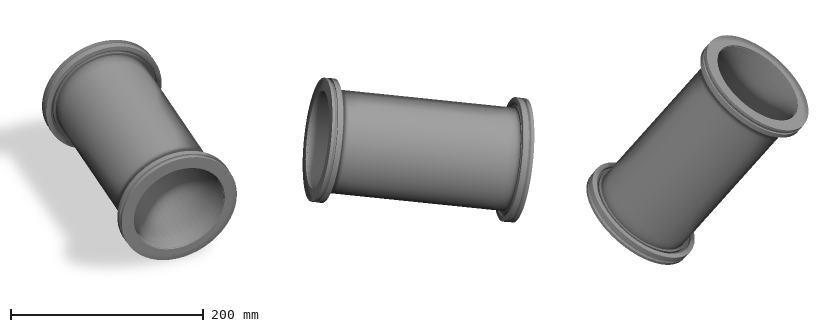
import cadquery as cq

LENGTH = 216.0
FLANGE_RADIUS = 65.0
LIP_RADIUS = 64.8
FLANGE_THICKNESS = 11.9

PIPE_RADIUS = 54.0
PIPE_BORE_RADIUS = 51.0

COUNTERBORE_RADIUS = 51.2
COUNTERBORE_DEPTH = 2.0
SOCKET_START = 5.0

GROOVE_START = 3.0
GROOVE_DEPTH = 1.5
GROOVE_FLAT = 1.5

RIM_CHAMFER = 0.5
RELIEF_INNER_RADIUS = 56.5
RELIEF_OUTER_RADIUS = 59.6
RELIEF_DEPTH = 3.0


def make_pipe():
    """Plain pipe whose ends sit in the flange sockets."""
    pipe_length = LENGTH - 2 * SOCKET_START
    return (
        cq.Workplane("YZ", origin=(-pipe_length / 2, 0, 0))
        .circle(PIPE_RADIUS)
        .circle(PIPE_BORE_RADIUS)
        .extrude(pipe_length)
    )


def make_left_flange():
    """Flange at the -X end, revolved from its half section about the X axis."""
    groove_bottom = GROOVE_START + GROOVE_DEPTH
    groove_end = groove_bottom + GROOVE_FLAT
    groove_radius = LIP_RADIUS - GROOVE_DEPTH
    relief_floor = FLANGE_THICKNESS - RELIEF_DEPTH
    section = [
        (0, COUNTERBORE_RADIUS),
        (0, LIP_RADIUS),
        (GROOVE_START, LIP_RADIUS),
        (groove_bottom, groove_radius),
        (groove_end, groove_radius),
        (groove_end, FLANGE_RADIUS),
        (FLANGE_THICKNESS - RIM_CHAMFER, FLANGE_RADIUS),
        (FLANGE_THICKNESS, FLANGE_RADIUS - RIM_CHAMFER),
        (FLANGE_THICKNESS, RELIEF_OUTER_RADIUS),
        (relief_floor, RELIEF_OUTER_RADIUS),
        (relief_floor, RELIEF_INNER_RADIUS),
        (FLANGE_THICKNESS, RELIEF_INNER_RADIUS),
        (FLANGE_THICKNESS, PIPE_RADIUS),
        (SOCKET_START, PIPE_RADIUS),
        (SOCKET_START, PIPE_BORE_RADIUS),
        (COUNTERBORE_DEPTH, PIPE_BORE_RADIUS),
        (COUNTERBORE_DEPTH, COUNTERBORE_RADIUS),
    ]
    return (
        cq.Workplane("XY")
        .polyline(section)
        .close()
        .revolve(360, (0, 0, 0), (1, 0, 0))
        .translate((-LENGTH / 2, 0, 0))
    )


def make_flange(side):
    """Flange at the -X end (side -1) or its mirror image at the +X end (side 1)."""
    flange = make_left_flange()
    if side > 0:
        flange = flange.mirror("YZ")
    return flange


pipe = make_pipe()
flanges = [make_flange(side) for side in (-1, 1)]

result = cq.Compound.makeCompound([pipe.val(), *[flange.val() for flange in flanges]])